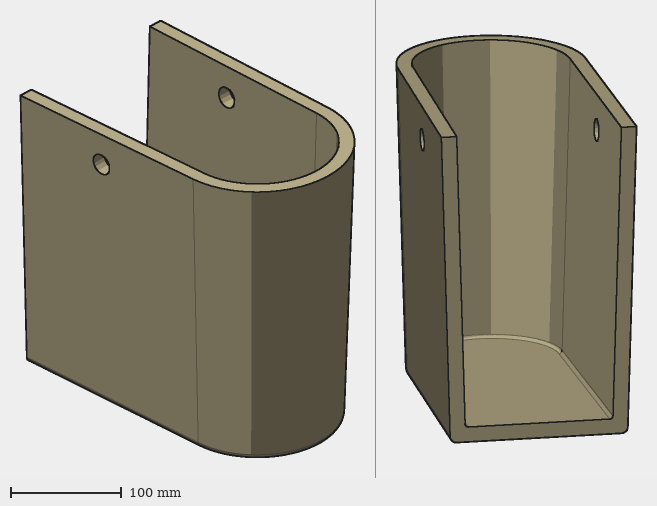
import cadquery as cq
import math

length = 300.3
height = 292.8
mouth_half_top = 90.0
mouth_half_bottom = 81.7
end_bottom = 290.5
wall = 14.0
side_taper = 1.0

mouth_rim_height = 287.5
underside_lift = 2.0

outer_fillet = 6.0
floor_fillet = 3.0

hole_diameter = 20.0
hole_x = 100.3
hole_z = 256.7


def outline(z, mouth_half, end):
    """U outline: two converging sides joined by a tangent arc, closed across X = 0."""
    taper = math.radians(side_taper)
    radius = (mouth_half * math.cos(taper) - end * math.sin(taper)) / (1 - math.sin(taper))
    tangent_x = end - radius + radius * math.sin(taper)
    tangent_y = radius * math.cos(taper)
    return (
        cq.Workplane("XY", origin=(0, 0, z))
        .moveTo(0, -mouth_half)
        .lineTo(tangent_x, -tangent_y)
        .threePointArc((end, 0), (tangent_x, tangent_y))
        .lineTo(0, mouth_half)
        .close()
        .val()
    )


def drafted_body(inset):
    """Drafted solid with its sides and rounded end moved inwards by inset."""
    bottom = outline(0, mouth_half_bottom - inset, end_bottom - inset)
    top = outline(height, mouth_half_top - inset, length - inset)
    return cq.Workplane(cq.Solid.makeLoft([bottom, top], True))


def side_envelope(floor, mouth_top, end_top):
    """Prism across Y between a sloping underside and a sloping top."""
    return (
        cq.Workplane("XZ")
        .polyline([(0, floor), (length, floor + underside_lift), (length, end_top), (0, mouth_top)])
        .close()
        .extrude(mouth_half_top, both=True)
    )


outer = drafted_body(0).intersect(side_envelope(0, mouth_rim_height, height))
outer = outer.faces("<Z").edges("not <X").fillet(outer_fillet)

cavity = drafted_body(wall).intersect(side_envelope(wall, height, height))
cavity = cavity.faces("<Z").edges("not <X").fillet(floor_fillet)

cross_hole = (
    cq.Workplane("XZ")
    .center(hole_x, hole_z)
    .circle(hole_diameter / 2)
    .extrude(mouth_half_top, both=True)
)

result = outer.cut(cavity).cut(cross_hole)